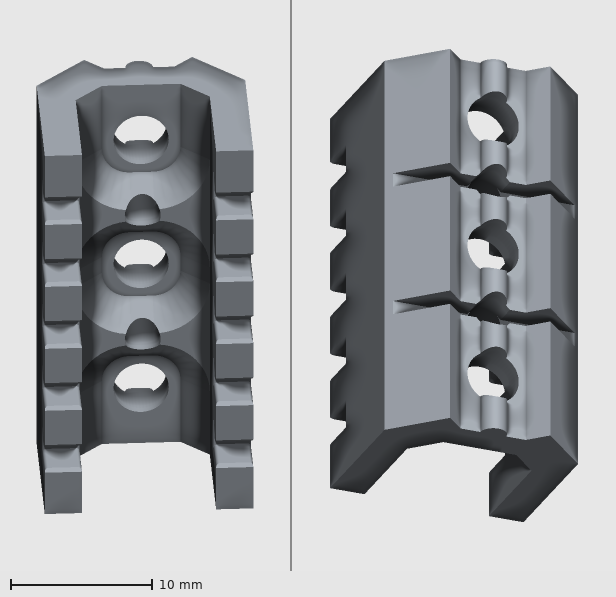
import cadquery as cq
import math


length = 28.95
plan_extent = 17.7
half_width = 7.38
tip_x = plan_extent * math.sqrt(2) - half_width
turn_angle = -45.0

arm_thickness = 2.63
channel_half_width = half_width - arm_thickness
channel_floor_x = 9.65

groove_mouth_half = 3.82
groove_floor_x = 5.15
groove_floor_half = 2 * groove_mouth_half - groove_floor_x
bead_radius = 0.98

station_pitch = 5.0
mid_z = length / 2
hole_levels = [mid_z + step * station_pitch for step in (-2, 0, 2)]
slit_levels = [mid_z + step * station_pitch for step in (-1, 1)]
notch_levels = [mid_z + step * station_pitch for step in (-2, -1, 0, 1, 2)]

large_hole_diameter = 3.9
small_hole_diameter = 2.55

pocket_floor_x = 7.67
pocket_depth = channel_floor_x - pocket_floor_x
pocket_floor_half = channel_half_width - pocket_depth
pocket_corner_radius = large_hole_diameter / 2
pocket_straight_half = 0.65
flare_angle = 45.0

slit_floor_x = 6.92
slit_height = 1.05

notch_depth = 3.0
notch_width = 1.75
notch_edge = 0.25


def make_body():
    upper_half = [
        (groove_floor_x, groove_floor_half),
        (groove_mouth_half, groove_mouth_half),
        (half_width, half_width),
        (tip_x, half_width),
        (tip_x, channel_half_width),
        (channel_floor_x, channel_half_width),
    ]
    lower_half = [(x, -y) for x, y in reversed(upper_half)]
    body = cq.Workplane("XY").polyline(upper_half + lower_half).close().extrude(length)
    bead = cq.Workplane("XY").center(groove_floor_x, 0).circle(bead_radius).extrude(length)
    return body.union(bead)


def notch_cutters(z):
    """One notch through both arm tips, chamfered at the tip face and rounded at the arm faces."""
    floor_x = tip_x - notch_depth
    half = notch_width / 2
    wide_half = half + notch_edge
    straight = (
        cq.Workplane("XY")
        .box(notch_depth, 2 * half_width, notch_width, centered=(False, True, True))
        .translate((floor_x, 0, z))
    )
    tip_flare = (
        cq.Workplane("XZ", origin=(0, half_width, z))
        .polyline([(tip_x - notch_edge, half), (tip_x, wide_half),
                   (tip_x, -wide_half), (tip_x - notch_edge, -half)])
        .close()
        .extrude(2 * half_width)
    )
    cutters = straight.union(tip_flare)
    arc_offset = notch_edge * (1 - math.sqrt(0.5))
    for side in (-1, 1):
        for face_y, inward in ((half_width, -1), (channel_half_width, 1)):
            wide_y = side * face_y
            narrow_y = side * (face_y + inward * notch_edge)
            arc_y = side * (face_y + inward * arc_offset)
            arc_z = half + arc_offset
            flare = (
                cq.Workplane("YZ", origin=(floor_x, 0, z))
                .moveTo(narrow_y, half)
                .threePointArc((arc_y, arc_z), (wide_y, wide_half))
                .lineTo(wide_y, -wide_half)
                .threePointArc((arc_y, -arc_z), (narrow_y, -half))
                .close()
                .extrude(notch_depth)
            )
            cutters = cutters.union(flare)
    return cutters


def back_hole(z, diameter):
    return cq.Workplane("YZ", origin=(0, 0, z)).circle(diameter / 2).extrude(channel_floor_x)


def slit(z):
    return (
        cq.Workplane("XY")
        .box(slit_floor_x, 2 * half_width, slit_height, centered=(False, True, True))
        .translate((0, 0, z))
    )


def slit_flare(z):
    """Hexagonal widening that joins a small hole to its slit along 45 degree tangents."""
    tangent_point = small_hole_diameter / 2 / math.sqrt(2)
    return (
        cq.Workplane("YZ", origin=(0, 0, z))
        .polyline([
            (2 * tangent_point, 0),
            (tangent_point, tangent_point),
            (-tangent_point, tangent_point),
            (-2 * tangent_point, 0),
            (-tangent_point, -tangent_point),
            (tangent_point, -tangent_point),
        ])
        .close()
        .extrude(slit_floor_x)
    )


def flared_pocket(straight_bottom, straight_top):
    """Rounded rectangular pocket that widens at the flare angle toward the channel."""
    floor_height = straight_top - straight_bottom + 2 * pocket_corner_radius
    floor_outline = cq.Sketch().rect(2 * pocket_floor_half, floor_height)
    floor_outline = floor_outline.vertices().fillet(pocket_corner_radius)
    middle = (straight_bottom + straight_top) / 2
    return (
        cq.Workplane("YZ", origin=(pocket_floor_x, 0, middle))
        .placeSketch(floor_outline)
        .extrude(pocket_depth, taper=-flare_angle)
    )


part = make_body()

for z in hole_levels:
    bottom = 0 if z == min(hole_levels) else z - pocket_straight_half
    top = length if z == max(hole_levels) else z + pocket_straight_half
    part = part.cut(flared_pocket(bottom, top))
    part = part.cut(back_hole(z, large_hole_diameter))

for z in slit_levels:
    part = part.cut(slit(z))
    part = part.cut(slit_flare(z))
    part = part.cut(back_hole(z, small_hole_diameter))

for z in notch_levels:
    part = part.cut(notch_cutters(z))

result = part.rotate((0, 0, 0), (0, 0, 1), turn_angle)